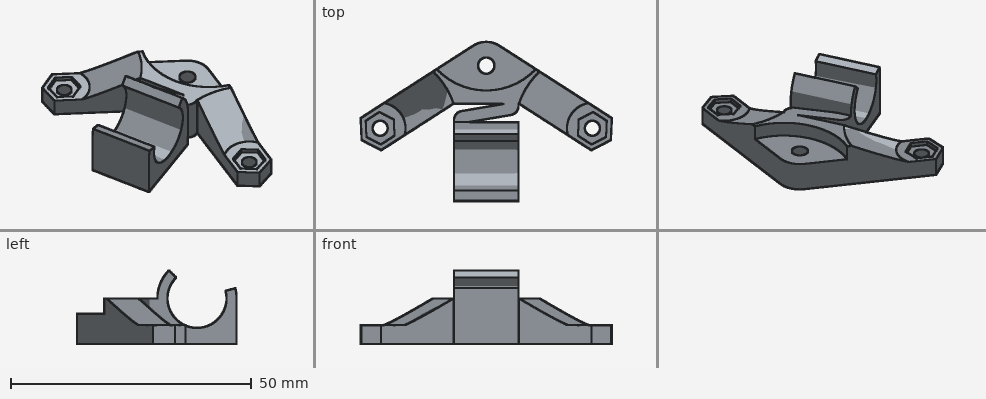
import cadquery as cq
import math

length = 52.2
body_height = 9.5

apex_radius = 4.95
centre_hole_diameter = 3.35
plate_front_y = -7.95
recess_floor = 6.3
recess_radius = 14.15
recess_centre_y = 9.0

arm_half_width = 3.95
pad_height = 3.95
pad_hole_y = -13.0
pad_hole_diameter = 3.1
nut_corner_diameter = 6.75
nut_pocket_depth = 0.9
ramp_inner_radius = 5.3
ramp_outer_radius = 16.1

clip_width = 13.45
clip_outer_radius = 8.25
clip_inner_radius = 6.1
clip_centre_y = -20.0
back_lip_angle = 135.0
front_lip_angle = 15.0

flexure_slope = 0.17
flexure_root = 3.55
flexure_fillet = 2.0
bend_search = 0.8

pad_corner_radius = arm_half_width / math.cos(math.pi / 6)
arm_angle = math.pi / 6
for _ in range(20):
    pad_hole_x = length / 2 - pad_corner_radius * math.cos(math.pi / 3 - arm_angle)
    spacing = math.hypot(pad_hole_x, pad_hole_y)
    taper = math.asin((apex_radius - arm_half_width) / spacing)
    arm_angle = math.atan2(-pad_hole_y, pad_hole_x) + taper
arm_angle_degrees = math.degrees(arm_angle)


def hexagonal_prism(corner_diameter, bottom, height):
    """Hexagon with two sides parallel to the right arm, centred on its pad hole."""
    return (
        cq.Workplane("XY")
        .polygon(6, corner_diameter)
        .extrude(height)
        .rotate((0, 0, 0), (0, 0, 1), -arm_angle_degrees)
        .translate((pad_hole_x, pad_hole_y, bottom))
    )


def both_sides(right):
    return right.union(right.mirror("YZ"))


def make_plate_and_arms():
    normal_x = math.sin(arm_angle)
    normal_y = math.cos(arm_angle)
    tangent_x = apex_radius * normal_x
    tangent_y = apex_radius * normal_y
    arm_back = (pad_hole_x + arm_half_width * normal_x, pad_hole_y + arm_half_width * normal_y)
    arm_front = (pad_hole_x - arm_half_width * normal_x, pad_hole_y - arm_half_width * normal_y)
    waist_x = arm_front[0] - (plate_front_y - arm_front[1]) / math.tan(arm_angle)
    return (
        cq.Workplane("XY")
        .moveTo(-tangent_x, tangent_y)
        .threePointArc((0, apex_radius), (tangent_x, tangent_y))
        .lineTo(*arm_back)
        .lineTo(*arm_front)
        .lineTo(waist_x, plate_front_y)
        .lineTo(-waist_x, plate_front_y)
        .lineTo(-arm_front[0], arm_front[1])
        .lineTo(-arm_back[0], arm_back[1])
        .close()
        .extrude(body_height)
    )


def make_ramp_cutter():
    """Conical clearance around the right pad hole, opening upward."""
    return (
        cq.Workplane("XZ")
        .moveTo(0, pad_height)
        .lineTo(ramp_inner_radius, pad_height)
        .lineTo(ramp_outer_radius, body_height)
        .lineTo(0, body_height)
        .close()
        .revolve(360, (0, 0), (0, 1))
        .translate((pad_hole_x, pad_hole_y, 0))
    )


def make_recess_cutter():
    return (
        cq.Workplane("XY", origin=(0, recess_centre_y, recess_floor))
        .circle(recess_radius)
        .extrude(body_height - recess_floor)
    )


def make_flexure():
    half = clip_width / 2
    clip_back_y = clip_centre_y + clip_outer_radius
    rise = flexure_slope * (half + flexure_root)
    flexure = (
        cq.Workplane("XY")
        .moveTo(-half, clip_back_y)
        .lineTo(-flexure_root, clip_back_y)
        .lineTo(half, clip_back_y + rise)
        .lineTo(half, plate_front_y)
        .lineTo(flexure_root, plate_front_y)
        .lineTo(-half, plate_front_y - rise)
        .close()
        .extrude(body_height)
    )
    middle_y = (plate_front_y + clip_back_y) / 2
    bends = cq.selectors.BoxSelector(
        (-length, middle_y - bend_search, 0),
        (length, middle_y + bend_search, body_height),
    )
    return flexure.edges("|Z").edges(bends).fillet(flexure_fillet)


def make_clip():
    def on_circle(radius, degrees):
        angle = math.radians(degrees)
        return (clip_centre_y - radius * math.cos(angle), body_height + radius * math.sin(angle))

    front_y = clip_centre_y - clip_outer_radius
    back_y = clip_centre_y + clip_outer_radius
    back_middle = (180 + back_lip_angle) / 2
    return (
        cq.Workplane("YZ")
        .moveTo(front_y, 0)
        .lineTo(back_y, 0)
        .lineTo(back_y, body_height)
        .threePointArc(
            on_circle(clip_outer_radius, back_middle),
            on_circle(clip_outer_radius, back_lip_angle),
        )
        .lineTo(*on_circle(clip_inner_radius, back_lip_angle))
        .threePointArc(on_circle(clip_inner_radius, 270), on_circle(clip_inner_radius, front_lip_angle))
        .lineTo(*on_circle(clip_outer_radius, front_lip_angle))
        .threePointArc(on_circle(clip_outer_radius, front_lip_angle / 2), (front_y, body_height))
        .close()
        .extrude(clip_width / 2, both=True)
    )


body = make_plate_and_arms()
body = body.cut(both_sides(make_ramp_cutter()))
body = body.cut(make_recess_cutter())

body = body.union(both_sides(hexagonal_prism(2 * pad_corner_radius, 0, pad_height)))
pocket = hexagonal_prism(nut_corner_diameter, pad_height - nut_pocket_depth, nut_pocket_depth)
body = body.cut(both_sides(pocket))
pad_holes = (
    cq.Workplane("XY")
    .pushPoints([(-pad_hole_x, pad_hole_y), (pad_hole_x, pad_hole_y)])
    .circle(pad_hole_diameter / 2)
    .extrude(body_height)
)
centre_hole = cq.Workplane("XY").circle(centre_hole_diameter / 2).extrude(body_height)
body = body.cut(pad_holes).cut(centre_hole)

result = body.union(make_flexure()).union(make_clip())